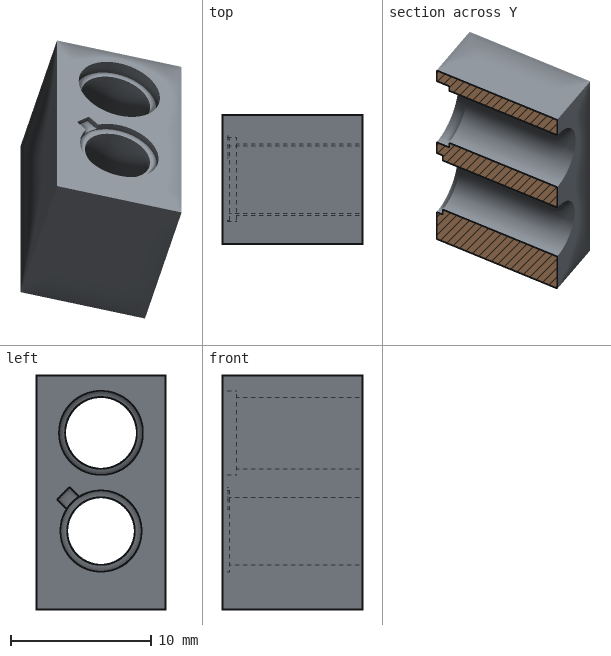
import cadquery as cq

LENGTH_X = 10.0
WIDTH_Y = 9.2
HEIGHT_Z = 16.7
FRONT_X = -LENGTH_X / 2

HOLE_SPACING = 7.0
UPPER_HOLE_Z = 4.25
LOWER_HOLE_Z = UPPER_HOLE_Z - HOLE_SPACING
UPPER_BORE_DIAMETER = 5.1
UPPER_COUNTERBORE_DIAMETER = 6.0
UPPER_COUNTERBORE_DEPTH = 1.0
LOWER_BORE_DIAMETER = 4.8
LOWER_COUNTERBORE_DIAMETER = 5.8
LOWER_COUNTERBORE_DEPTH = 0.5

NOTCH_REACH = 3.8
NOTCH_WIDTH = 1.25
NOTCH_DEPTH = 0.4
NOTCH_ANGLE = 45.0


def cylinder_from_front(diameter, depth, z):
    """Cylinder along X that starts on the front face."""
    return (
        cq.Workplane("YZ", origin=(FRONT_X, 0, z))
        .circle(diameter / 2)
        .extrude(depth)
    )


def stepped_hole(bore_diameter, counterbore_diameter, counterbore_depth, z):
    """Through bore with a flat-bottomed counterbore in the front face."""
    bore = cylinder_from_front(bore_diameter, LENGTH_X, z)
    counterbore = cylinder_from_front(counterbore_diameter, counterbore_depth, z)
    return bore.union(counterbore)


def key_notch():
    """Rectangular pocket running outwards from the lower hole axis."""
    return (
        cq.Workplane("YZ", origin=(FRONT_X, 0, LOWER_HOLE_Z))
        .transformed(rotate=(0, 0, NOTCH_ANGLE))
        .center(NOTCH_REACH / 2, 0)
        .rect(NOTCH_REACH, NOTCH_WIDTH)
        .extrude(NOTCH_DEPTH)
    )


block = cq.Workplane("XY").box(LENGTH_X, WIDTH_Y, HEIGHT_Z)
upper_hole = stepped_hole(
    UPPER_BORE_DIAMETER, UPPER_COUNTERBORE_DIAMETER, UPPER_COUNTERBORE_DEPTH, UPPER_HOLE_Z
)
lower_hole = stepped_hole(
    LOWER_BORE_DIAMETER, LOWER_COUNTERBORE_DIAMETER, LOWER_COUNTERBORE_DEPTH, LOWER_HOLE_Z
)

result = block.cut(upper_hole).cut(lower_hole).cut(key_notch())